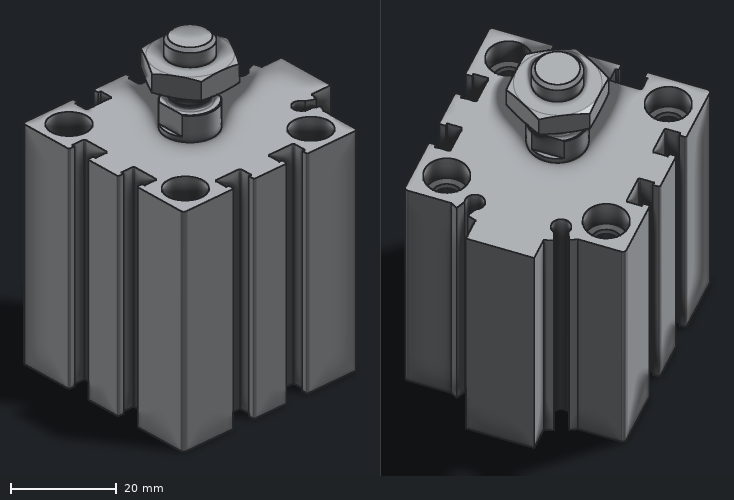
import cadquery as cq
import math

overall_height = 73.0
rod_projection = 20.0
housing_height = overall_height - rod_projection

housing_width = 45.0
half_width = housing_width / 2
corner_radius = 0.8
rail_width = 13.9
rail_height = 7.5

slot_offset = 6.85
slot_mouth_width = 5.2
slot_inner_width = 6.5
slot_depth = 4.6
slot_lip = 1.45
slot_mouth_radius = 0.4
slot_floor_radius = 0.4

hump_radius = 25.9
groove_angle = 23.0
groove_center_distance = 22.4
groove_diameter = 3.9
groove_mouth_width = 2.85
groove_mouth_overrun = 0.7

hole_offset = 16.2
hole_diameter = 4.9
hole_mouth_diameter = 6.0
counterbore_diameter = 9.0
counterbore_depth = 5.55

rod_diameter = 12.0
rod_shoulder_height = 6.0
rod_shoulder_chamfer = 0.15
flats_width = 10.0
flats_start = 1.2
thread_diameter = 10.0
thread_start = 9.6
tip_diameter = 8.55
tip_chamfer_height = 0.8
neck_diameter = 8.2
neck_top = 6.9
neck_base_radius = 0.5
taper_diameter = 8.6
taper_start = 7.2

nut_width = 17.0
nut_bottom = 11.0
nut_height = 5.0
nut_face_diameter = 16.8
nut_corner_drop = 0.45


def slot_cutter(radial_angle, offset):
    """T-slot running the full height, cut into the side that faces radial_angle."""
    neck = cq.Workplane("XY").center(half_width - slot_lip / 2, offset)
    neck = neck.rect(slot_lip, slot_mouth_width).extrude(housing_height)
    chamber_length = slot_depth - slot_lip
    chamber = cq.Workplane("XY").center(half_width - slot_lip - chamber_length / 2, offset)
    chamber = chamber.rect(chamber_length, slot_inner_width).extrude(housing_height)
    chamber = chamber.edges("|Z and <X").fillet(slot_floor_radius)
    flare = cq.Workplane("XY")
    for side in (-1, 1):
        edge = offset + side * slot_mouth_width / 2
        flare = flare.union(
            cq.Workplane("XY")
            .moveTo(half_width - slot_mouth_radius, edge)
            .radiusArc((half_width, edge + side * slot_mouth_radius), -side * slot_mouth_radius)
            .lineTo(half_width, edge)
            .close()
            .extrude(housing_height)
        )
    cutter = neck.union(chamber).union(flare)
    return cutter.rotate((0, 0, 0), (0, 0, 1), radial_angle)


def groove_cutter(side):
    """Keyhole channel whose mouth points radially away from the rod axis."""
    bore = cq.Workplane("XY").center(0, groove_center_distance)
    bore = bore.circle(groove_diameter / 2).extrude(housing_height)
    mouth_length = hump_radius - groove_center_distance + groove_mouth_overrun
    mouth = cq.Workplane("XY").center(0, groove_center_distance + mouth_length / 2)
    mouth = mouth.rect(groove_mouth_width, mouth_length).extrude(housing_height)
    return bore.union(mouth).rotate((0, 0, 0), (0, 0, 1), -side * groove_angle)


def mounting_hole_cutter(x, y):
    """Through hole with a chamfered mouth at the floor of a counterbore."""
    floor_z = housing_height - counterbore_depth
    hole_radius = hole_diameter / 2
    mouth_radius = hole_mouth_diameter / 2
    profile = [
        (0, 0),
        (hole_radius, 0),
        (hole_radius, floor_z - (mouth_radius - hole_radius)),
        (mouth_radius, floor_z),
        (counterbore_diameter / 2, floor_z),
        (counterbore_diameter / 2, housing_height),
        (0, housing_height),
    ]
    cutter = cq.Workplane("XZ").polyline(profile).close().revolve(360, (0, 0, 0), (0, 1, 0))
    return cutter.translate((x, y, 0))


def make_housing():
    body = cq.Workplane("XY").rect(housing_width, housing_width).extrude(housing_height)
    body = body.edges("|Z").fillet(corner_radius)

    hump_half_width = math.sqrt(hump_radius**2 - half_width**2)
    hump = (
        cq.Workplane("XY")
        .moveTo(-hump_half_width, half_width)
        .threePointArc((0, hump_radius), (hump_half_width, half_width))
        .close()
        .extrude(housing_height)
    )
    rail = cq.Workplane("XY").center(0, half_width + rail_height / 2)
    rail = rail.rect(rail_width, rail_height).extrude(housing_height)
    body = body.union(hump).union(rail)

    for radial_angle in (0, 180, 270):
        for offset in (-slot_offset, slot_offset):
            body = body.cut(slot_cutter(radial_angle, offset))
    for side in (-1, 1):
        body = body.cut(groove_cutter(side))
        for y in (-hole_offset, hole_offset):
            body = body.cut(mounting_hole_cutter(side * hole_offset, y))
    return body


def make_rod():
    rod_radius = rod_diameter / 2
    neck_radius = neck_diameter / 2
    thread_radius = thread_diameter / 2

    profile = (
        cq.Workplane("XZ")
        .lineTo(rod_radius, 0)
        .lineTo(rod_radius, rod_shoulder_height - rod_shoulder_chamfer)
        .lineTo(rod_radius - rod_shoulder_chamfer, rod_shoulder_height)
        .lineTo(neck_radius + neck_base_radius, rod_shoulder_height)
        .radiusArc((neck_radius, rod_shoulder_height + neck_base_radius), neck_base_radius)
        .lineTo(neck_radius, neck_top)
        .lineTo(taper_diameter / 2, taper_start)
        .lineTo(thread_radius, thread_start)
        .lineTo(thread_radius, rod_projection - tip_chamfer_height)
        .lineTo(tip_diameter / 2, rod_projection)
        .lineTo(0, rod_projection)
        .close()
    )
    body = profile.revolve(360, (0, 0, 0), (0, 1, 0))

    flats_height = rod_shoulder_height - flats_start
    for side in (-1, 1):
        flat_y = side * (flats_width + rod_diameter) / 2
        flat = cq.Workplane("XY").rect(rod_diameter, rod_diameter).extrude(flats_height)
        body = body.cut(flat.translate((0, flat_y, flats_start)))
    return body.translate((0, 0, housing_height))


def make_nut():
    corner_diameter = nut_width / math.cos(math.pi / 6)
    corner_reach = corner_diameter / 2
    hexagon = cq.Workplane("XY").polygon(6, corner_diameter).extrude(nut_height)
    hexagon = hexagon.rotate((0, 0, 0), (0, 0, 1), 30)

    face_radius = nut_face_diameter / 2
    envelope_profile = [
        (0, 0),
        (face_radius, 0),
        (corner_reach, nut_corner_drop),
        (corner_reach, nut_height - nut_corner_drop),
        (face_radius, nut_height),
        (0, nut_height),
    ]
    envelope = cq.Workplane("XZ").polyline(envelope_profile).close().revolve(360, (0, 0, 0), (0, 1, 0))
    bore = cq.Workplane("XY").circle(thread_diameter / 2).extrude(nut_height)
    body = hexagon.intersect(envelope).cut(bore)
    return body.translate((0, 0, housing_height + nut_bottom))


housing = make_housing()
rod = make_rod()
nut = make_nut()

result = cq.Compound.makeCompound([housing.val(), rod.val(), nut.val()])